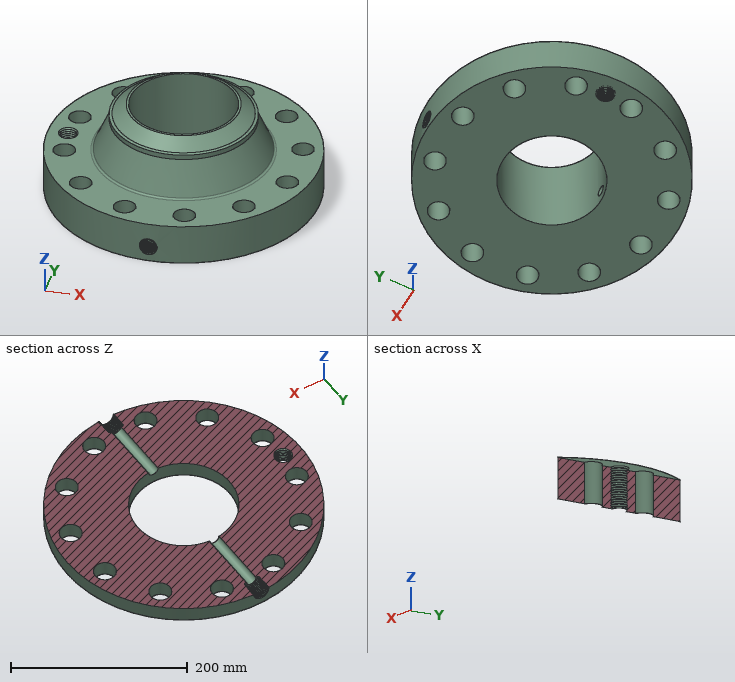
import cadquery as cq
import math

flange_diameter = 317.5
flange_thickness = 49.3
bore_diameter = 124.4

overall_height = 111.05
hub_base_diameter = 206.0
neck_diameter = 169.0
neck_bottom_z = 91.5
neck_top_z = 97.4
bevel_outer_diameter = 162.0
bevel_bottom_z = 98.3
weld_land_diameter = 130.0
hub_root_fillet = 3.0

bolt_count = 12
bolt_hole_diameter = 25.4
bolt_circle_diameter = 269.9

inch = 25.4
jack_pitch = inch / 9
jack_major_diameter = 7 / 8 * inch
jack_minor_diameter = 19.1

tap_z = 19.05
tap_pitch = inch / 14
tap_major_diameter = 21.3
tap_minor_diameter = 18.4
tap_thread_turns = 12
tap_taper = 1 / 16
tap_drill_diameter = 12.7


def flange_with_hub():
    """Revolved plate and tapered hub, with a fillet where the hub meets the plate."""
    hub_root_edge = cq.selectors.NearestToPointSelector((0, 0, flange_thickness))
    return (
        cq.Workplane("XZ")
        .moveTo(bore_diameter / 2, 0)
        .lineTo(flange_diameter / 2, 0)
        .lineTo(flange_diameter / 2, flange_thickness)
        .lineTo(hub_base_diameter / 2, flange_thickness)
        .lineTo(neck_diameter / 2, neck_bottom_z)
        .lineTo(neck_diameter / 2, neck_top_z)
        .lineTo(bevel_outer_diameter / 2, bevel_bottom_z)
        .lineTo(weld_land_diameter / 2, overall_height)
        .lineTo(bore_diameter / 2, overall_height)
        .close()
        .revolve(360, (0, 0, 0), (0, 1, 0))
        .edges(hub_root_edge)
        .fillet(hub_root_fillet)
    )


def bolt_holes():
    """Through-hole cutters on the bolt circle."""
    return (
        cq.Workplane("XY")
        .polarArray(bolt_circle_diameter / 2, 180 / bolt_count, 360, bolt_count)
        .circle(bolt_hole_diameter / 2)
        .extrude(flange_thickness)
    )


def threaded_cutter(major_diameter, minor_diameter, pitch, turns, taper=0):
    """Cutter along -Z with one V-shaped ring per turn; the first half ring stands above the origin."""
    minor_radius = minor_diameter / 2
    major_radius = major_diameter / 2
    outline = cq.Workplane("XZ").moveTo(0, pitch / 2).lineTo(minor_radius, pitch / 2)
    for turn in range(turns):
        ring_depth = turn * pitch
        crest_depth = ring_depth + pitch / 2
        outline = outline.lineTo(major_radius - taper * ring_depth / 2, -ring_depth)
        outline = outline.lineTo(minor_radius - taper * crest_depth / 2, -crest_depth)
    return outline.lineTo(0, -crest_depth).close().revolve(360, (0, 0, 0), (0, 1, 0))


def jack_screw_hole():
    """Threaded cutter passing through the whole plate thickness."""
    turns = math.ceil(flange_thickness / jack_pitch) + 1
    cutter = threaded_cutter(jack_major_diameter, jack_minor_diameter, jack_pitch, turns)
    return cutter.translate((-bolt_circle_diameter / 2, 0, flange_thickness))


def pressure_tap():
    """Taper-threaded tap opening on the -Y rim, with its drilling into the bore."""
    thread = threaded_cutter(
        tap_major_diameter, tap_minor_diameter, tap_pitch, tap_thread_turns, tap_taper
    )
    drill = cq.Workplane("XY").circle(tap_drill_diameter / 2).extrude(-flange_diameter / 2)
    return (
        thread.union(drill)
        .rotate((0, 0, 0), (1, 0, 0), 90)
        .translate((0, -flange_diameter / 2, tap_z))
    )


result = flange_with_hub().cut(bolt_holes()).cut(jack_screw_hole())
for tap_angle in (0, 180):
    result = result.cut(pressure_tap().rotate((0, 0, 0), (0, 0, 1), tap_angle))